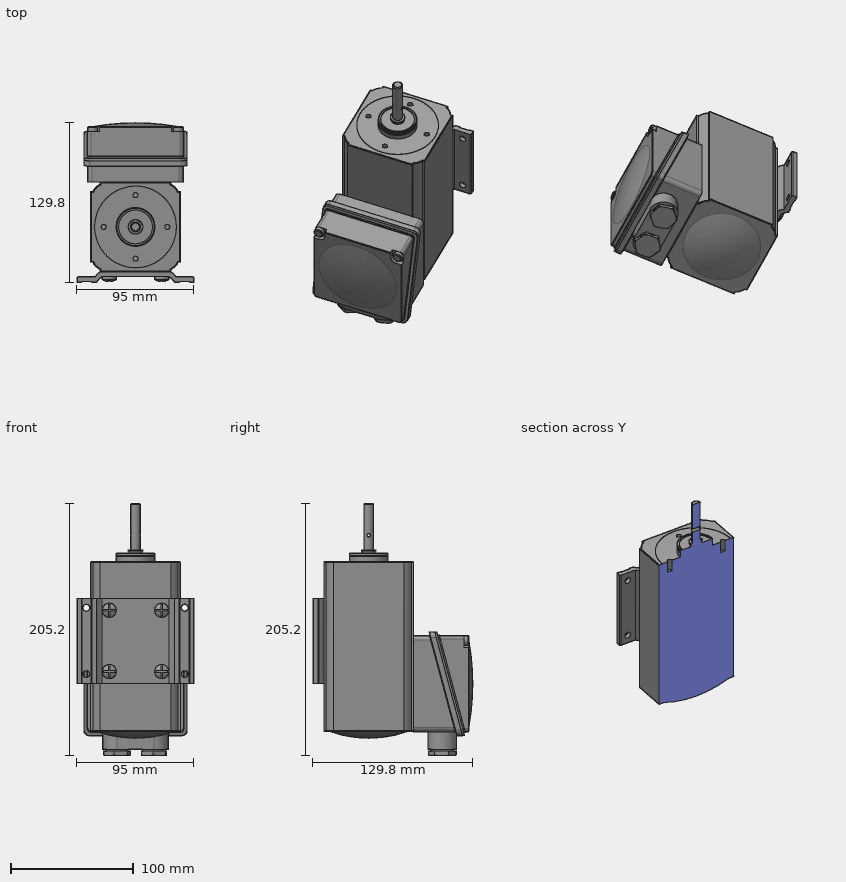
import cadquery as cq
import math


body_width = 73.0
body_height = 138.0
body_half = body_width / 2
corner_reach = 7.8
corner_step = 1.8
corner_radius = 12.3
body_edge = 0.6
bottom_dome_radius = 31.5
bottom_dome_rise = 5.5

face_disc_radius = 33.2
face_disc_rise = 0.2
face_hole_radius = 2.0
face_hole_depth = 10.3
face_hole_circle_radius = 25.9

boss_radius = 15.8
boss_top = 145.3
boss_edge = 0.6
boss_groove_height = 0.8
boss_groove_depth = 0.5
boss_groove_bottom = boss_top - 2.9
boss_recess_radius = 13.7
boss_recess_depth = 0.6
collar_radius = 5.3
collar_rim_radius = 6.0
collar_rim_height = 1.0
collar_top = 147.7
shaft_radius = 4.0
shaft_top = 185.5
shaft_edge = 0.8
pin_hole_radius = 1.2
pin_hole_height = 159.6

bracket_width = 95.0
bracket_height = 69.4
bracket_middle = 73.7
bracket_thickness = 4.0
foot_bottom = -45.1
foot_slope_start = 27.0
foot_slope_bulge = 0.5
foot_relief_inner = 35.5
foot_relief_outer = 44.1
foot_relief_depth = 0.6
foot_edge = 0.8
foot_hole_radius = 2.7
foot_hole_x = 40.0
foot_hole_spacing = 54.0

screw_x = 21.3
screw_spacing = 49.9
screw_radius = 5.7
screw_rim_height = 2.3
screw_head_height = 4.1
screw_slot_length = 9.0
screw_slot_width = 1.5
screw_slot_depth = 1.6

box_half_width = 39.0
box_bottom = -0.5
box_top = 78.0
box_height = box_top - box_bottom
box_middle = (box_bottom + box_top) / 2
box_face = 81.7
box_corner_radius = 3.7
lid_corner_radius = 2.9
lid_edge = 0.6
lid_dome_radius = 34.5
lid_dome_rise = 3.0
base_flange_overhang = 3.0
lid_flange_overhang = 2.9
flange_corner_radius = 4.5
lid_flange_thickness = 1.6
base_flange_thickness = 4.3
lid_ledge_overhang = 0.6
lid_ledge_thickness = 1.2
base_ledge_overhang = 0.5
base_ledge_thickness = 0.6
seam_middle = 65.0
seam_tilt = 15.0
notch_size = 9.8
notch_depth = 4.0
notch_corner_radius = 5.0
lid_screw_radius = 4.0
lid_screw_edge = 0.8

gland_x = 15.0
gland_y = 60.0
gland_radius = 11.7
gland_bottom = -14.5
neck_radius = 9.0
nut_top = -16.0
nut_bottom = -19.7
nut_radius = 11.39
nut_bevel = 0.8
nut_turns = {-1: 17.0, 1: 27.0}


def cylinder(radius, bottom, top, x=0, y=0):
    return cq.Workplane("XY", origin=(x, y, bottom)).circle(radius).extrude(top - bottom)


def dome(radius, rise):
    """Spherical cap standing on the XY plane and bulging toward +Z."""
    sphere_radius = (radius ** 2 + rise ** 2) / (2 * rise)
    middle_angle = math.asin(radius / sphere_radius) / 2
    middle_x = sphere_radius * math.sin(middle_angle)
    middle_z = rise - sphere_radius * (1 - math.cos(middle_angle))
    return (
        cq.Workplane("XZ")
        .lineTo(radius, 0)
        .threePointArc((middle_x, middle_z), (0, rise))
        .close()
        .revolve(360, (0, 0, 0), (0, 1, 0))
    )


def motor_body():
    flat_end = body_half - corner_reach
    arc_end = body_half - corner_step
    half_chord = (arc_end - flat_end) / math.sqrt(2)
    bulge = corner_radius - math.sqrt(corner_radius ** 2 - half_chord ** 2)
    arc_middle = (flat_end + arc_end) / 2 + bulge / math.sqrt(2)
    outline = cq.Workplane("XY").moveTo(body_half, -flat_end)
    for quarter in range(4):
        turn = math.radians(90 * quarter)

        def turned(x, y):
            return (
                x * math.cos(turn) - y * math.sin(turn),
                x * math.sin(turn) + y * math.cos(turn),
            )

        outline = outline.lineTo(*turned(body_half, flat_end)).lineTo(*turned(arc_end, flat_end))
        outline = outline.threePointArc(turned(arc_middle, arc_middle), turned(flat_end, arc_end))
        if quarter < 3:
            outline = outline.lineTo(*turned(flat_end, body_half))
    body = outline.close().extrude(body_height).faces("<Z or >Z").chamfer(body_edge)
    bottom_dome = dome(bottom_dome_radius, bottom_dome_rise).rotate((0, 0, 0), (1, 0, 0), 180)
    face_disc = cylinder(face_disc_radius, body_height, body_height + face_disc_rise)
    face_holes = (
        cq.Workplane("XY", origin=(0, 0, body_height + face_disc_rise))
        .polarArray(face_hole_circle_radius, 0, 360, 4)
        .circle(face_hole_radius)
        .extrude(-face_hole_depth)
    )
    return body.union(bottom_dome).union(face_disc).cut(face_holes)


def boss_and_shaft():
    boss = cylinder(boss_radius, body_height, boss_top).faces(">Z").chamfer(boss_edge)
    boss = boss.cut(cylinder(boss_recess_radius, boss_top - boss_recess_depth, boss_top))
    groove_top = boss_groove_bottom + boss_groove_height
    groove_core = cylinder(boss_radius - boss_groove_depth, boss_groove_bottom, groove_top)
    boss = boss.cut(cylinder(boss_radius, boss_groove_bottom, groove_top).cut(groove_core))
    collar = cylinder(collar_radius, body_height, collar_top)
    collar_rim = cylinder(collar_rim_radius, collar_top - collar_rim_height, collar_top)
    shaft = cylinder(shaft_radius, body_height, shaft_top).faces(">Z").chamfer(shaft_edge)
    pin_hole = (
        cq.Workplane("YZ", origin=(0, 0, pin_hole_height))
        .circle(pin_hole_radius)
        .extrude(shaft_radius, both=True)
    )
    return boss.union(collar).union(collar_rim).union(shaft.cut(pin_hole))


def bracket():
    plate_top = -body_half
    plate_bottom = plate_top - bracket_thickness
    foot_top = plate_bottom
    top_slope_start = (body_half - corner_reach, plate_top)
    top_slope_end = (top_slope_start[0] + plate_top - foot_top, foot_top)
    bottom_slope_start = (foot_slope_start, plate_bottom)
    bottom_slope_end = (foot_slope_start + plate_bottom - foot_bottom, foot_bottom)

    def slope_middle(start, end):
        shift = foot_slope_bulge / math.sqrt(2)
        return ((start[0] + end[0]) / 2 + shift, (start[1] + end[1]) / 2 + shift)

    relief_top = foot_bottom + foot_relief_depth
    half = (
        cq.Workplane("XY", origin=(0, 0, bracket_middle))
        .moveTo(0, plate_top)
        .lineTo(*top_slope_start)
        .threePointArc(slope_middle(top_slope_start, top_slope_end), top_slope_end)
        .lineTo(bracket_width / 2 - foot_edge, foot_top)
        .lineTo(bracket_width / 2, foot_top - foot_edge)
        .lineTo(bracket_width / 2, foot_bottom)
        .lineTo(foot_relief_outer, foot_bottom)
        .lineTo(foot_relief_outer - foot_relief_depth, relief_top)
        .lineTo(foot_relief_inner + foot_relief_depth, relief_top)
        .lineTo(foot_relief_inner, foot_bottom)
        .lineTo(*bottom_slope_end)
        .threePointArc(slope_middle(bottom_slope_start, bottom_slope_end), bottom_slope_start)
        .lineTo(0, plate_bottom)
        .close()
        .extrude(bracket_height / 2, both=True)
    )
    foot_holes = (
        cq.Workplane("XZ", origin=(0, 0, bracket_middle))
        .rarray(2 * foot_hole_x, foot_hole_spacing, 2, 2)
        .circle(foot_hole_radius)
        .extrude(-foot_bottom)
    )
    return half.union(half.mirror("YZ")).cut(foot_holes)


def bracket_screws():
    """Domed screw heads with cross slots on the outside of the bracket plate."""
    head = cylinder(screw_radius, 0, screw_rim_height)
    cap = dome(screw_radius, screw_head_height - screw_rim_height)
    head = head.union(cap.translate((0, 0, screw_rim_height)))
    for length, width in [
        (screw_slot_length, screw_slot_width),
        (screw_slot_width, screw_slot_length),
    ]:
        slot = cq.Workplane("XY", origin=(0, 0, screw_head_height)).rect(length, width)
        head = head.cut(slot.extrude(-screw_slot_depth))
    head = head.rotate((0, 0, 0), (1, 0, 0), 90)
    plate_bottom = -body_half - bracket_thickness
    heads = cq.Workplane("XY")
    for x in (-screw_x, screw_x):
        for z_offset in (-screw_spacing / 2, screw_spacing / 2):
            heads = heads.union(head.translate((x, plate_bottom, bracket_middle + z_offset)))
    return heads


def box_block(overhang, radius, y_start, y_end):
    """Block along Y with the outline of the terminal box grown by an overhang."""
    return (
        cq.Workplane("XZ", origin=(0, y_start, box_middle))
        .rect(2 * (box_half_width + overhang), box_height + 2 * overhang)
        .extrude(y_start - y_end)
        .edges("|Y")
        .fillet(radius)
    )


def seam_slab(near, far):
    """Slab parallel to the tilted seam, between two distances from it."""
    size = 4 * box_height
    return (
        cq.Workplane("XY")
        .box(size, far - near, size)
        .translate((0, (near + far) / 2, 0))
        .rotate((0, 0, 0), (1, 0, 0), seam_tilt)
        .translate((0, seam_middle, box_middle))
    )


def rim(overhang, radius, near, far):
    """Band around the terminal box, parallel to the seam."""
    block = box_block(overhang, radius, body_half, box_face + overhang)
    return block.intersect(seam_slab(near, far))


def box_base():
    base = box_block(0, box_corner_radius, body_half, box_face)
    base = base.intersect(seam_slab(-box_height, 0))
    ledge_end = -base_flange_thickness - base_ledge_thickness
    flange = rim(base_flange_overhang, flange_corner_radius, -base_flange_thickness, 0)
    ledge = rim(base_ledge_overhang, box_corner_radius, ledge_end, 0)
    return base.union(flange).union(ledge)


def lid():
    cover = box_block(0, lid_corner_radius, body_half, box_face).faces(">Y").chamfer(lid_edge)
    cover = cover.intersect(seam_slab(0, box_height))
    lid_dome = dome(lid_dome_radius, lid_dome_rise).rotate((0, 0, 0), (1, 0, 0), -90)
    cover = cover.union(lid_dome.translate((0, box_face, box_middle)))
    notch = (
        cq.Workplane("XY")
        .box(2 * notch_size, 2 * notch_depth, 2 * notch_size)
        .edges("|Y")
        .fillet(notch_corner_radius)
    )
    screw = (
        cq.Workplane("XZ")
        .circle(lid_screw_radius)
        .extrude(notch_depth)
        .faces(">Y")
        .chamfer(lid_screw_edge)
    )
    for side in (-1, 1):
        cover = cover.cut(notch.translate((side * box_half_width, box_face, box_top)))
        screw_place = (side * (box_half_width - lid_screw_radius), box_face, box_top - lid_screw_radius)
        cover = cover.union(screw.translate(screw_place))
    ledge_end = lid_flange_thickness + lid_ledge_thickness
    flange = rim(lid_flange_overhang, flange_corner_radius, 0, lid_flange_thickness)
    ledge = rim(lid_ledge_overhang, lid_corner_radius, 0, ledge_end)
    return cover.union(flange).union(ledge)


def cable_glands():
    glands = (
        cq.Workplane("XY", origin=(0, gland_y, 0))
        .slot2D(2 * (gland_x + gland_radius), 2 * gland_radius)
        .extrude(gland_bottom)
    )
    for side in (-1, 1):
        neck = cylinder(neck_radius, nut_top, gland_bottom, side * gland_x, gland_y)
        nut_limit = cylinder(nut_radius, nut_bottom, nut_top).faces("<Z").chamfer(nut_bevel)
        nut = (
            cq.Workplane("XY", origin=(0, 0, nut_bottom))
            .polygon(6, 2 * nut_radius)
            .extrude(nut_top - nut_bottom)
            .rotate((0, 0, 0), (0, 0, 1), nut_turns[side])
            .intersect(nut_limit)
            .translate((side * gland_x, gland_y, 0))
        )
        glands = glands.union(neck).union(nut)
    return glands


result = (
    motor_body()
    .union(boss_and_shaft())
    .union(bracket())
    .union(bracket_screws())
    .union(box_base())
    .union(lid())
    .union(cable_glands())
)